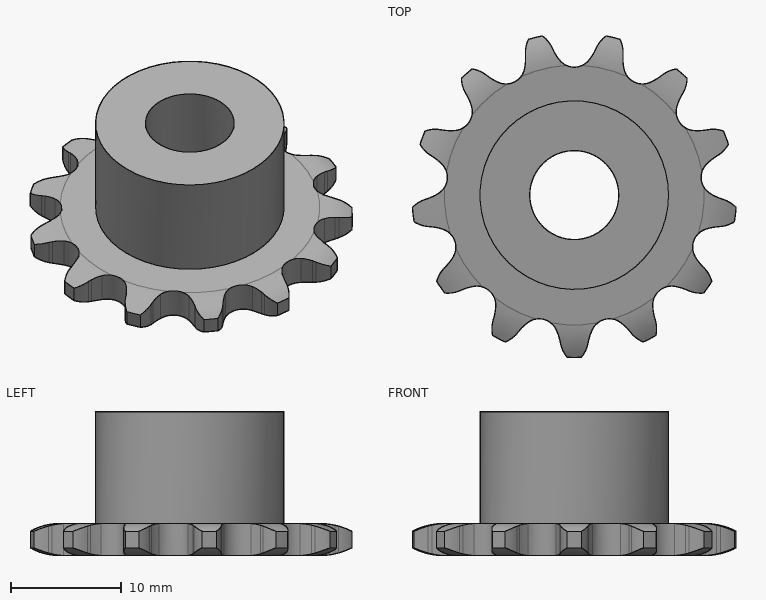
import cadquery as cq
import math

tooth_count = 13
chain_pitch = 6.35
roller_diameter = 3.3
seat_clearance = 0.075

tip_diameter = 29.3
face_diameter = 23.43
plate_thickness = 2.92
tip_thickness = 1.5
total_height = 13.0
hub_diameter = 17.0
bore_diameter = 8.0

half_tooth_angle = math.pi / tooth_count
pitch_angle_deg = 360 / tooth_count
pitch_radius = chain_pitch / (2 * math.sin(half_tooth_angle))
tip_radius = tip_diameter / 2
seat_radius = (1.005 * roller_diameter + seat_clearance) / 2
seat_angle = math.radians(35 + 60 / tooth_count)
working_sweep = math.radians(18 - 56 / tooth_count)
flank_angle = seat_angle - working_sweep
working_center_offset = 0.8 * roller_diameter
topping_center_offset = 1.4 * roller_diameter
gap_reach = 2.92


def polar(center, radius, angle):
    """Point at a radius and angle (radians from +X) around a center."""
    return (center[0] + radius * math.cos(angle), center[1] + radius * math.sin(angle))


def mirrored(point):
    """The same point on the other side of the gap's centerline."""
    return (-point[0], point[1])


def make_plate():
    """Toothless disc whose rim is crowned on both faces, tangent to the flat faces."""
    face_radius = face_diameter / 2
    crown_width = tip_radius - face_radius
    crown_drop = (plate_thickness - tip_thickness) / 2
    crown_radius = (crown_width**2 + crown_drop**2) / (2 * crown_drop)
    crown_mid_angle = math.asin(crown_width / crown_radius) / 2
    top_center = (face_radius, plate_thickness - crown_radius)
    bottom_center = (face_radius, crown_radius)
    return (
        cq.Workplane("XZ")
        .lineTo(face_radius, 0)
        .threePointArc(
            polar(bottom_center, crown_radius, crown_mid_angle - math.pi / 2),
            (tip_radius, crown_drop),
        )
        .lineTo(tip_radius, plate_thickness - crown_drop)
        .threePointArc(
            polar(top_center, crown_radius, math.pi / 2 - crown_mid_angle),
            (face_radius, plate_thickness),
        )
        .lineTo(0, plate_thickness)
        .close()
        .revolve(360, (0, 0), (0, 1))
    )


def make_tooth_gap():
    """Cutter for the gap centered on +Y: roller seat, then working, straight and topping flanks."""
    roller_center = (0, pitch_radius)
    seat_bottom = (0, pitch_radius - seat_radius)
    seat_end = polar(roller_center, seat_radius, -seat_angle)

    working_center = polar(roller_center, working_center_offset, math.pi - seat_angle)
    working_radius = working_center_offset + seat_radius
    working_mid = polar(working_center, working_radius, -seat_angle + working_sweep / 2)
    working_end = polar(working_center, working_radius, -flank_angle)

    topping_center = polar(roller_center, topping_center_offset, -half_tooth_angle)
    topping_radius = (topping_center[0] - working_end[0]) * math.cos(flank_angle)
    topping_radius += (working_end[1] - topping_center[1]) * math.sin(flank_angle)
    topping_start_angle = math.pi - flank_angle
    topping_start = polar(topping_center, topping_radius, topping_start_angle)

    center_distance = math.hypot(*topping_center)
    inward_angle = math.atan2(-topping_center[1], -topping_center[0]) + 2 * math.pi
    corner_cosine = (center_distance**2 + topping_radius**2 - tip_radius**2) / (
        2 * center_distance * topping_radius
    )
    topping_end_angle = inward_angle - math.acos(corner_cosine)
    topping_mid_angle = (topping_start_angle + topping_end_angle) / 2
    topping_mid = polar(topping_center, topping_radius, topping_mid_angle)
    topping_end = polar(topping_center, topping_radius, topping_end_angle)
    outer_corner = (topping_end[0], tip_radius + gap_reach)

    return (
        cq.Workplane("XY")
        .moveTo(*mirrored(seat_end))
        .threePointArc(seat_bottom, seat_end)
        .threePointArc(working_mid, working_end)
        .lineTo(*topping_start)
        .threePointArc(topping_mid, topping_end)
        .lineTo(*outer_corner)
        .lineTo(*mirrored(outer_corner))
        .lineTo(*mirrored(topping_end))
        .threePointArc(mirrored(topping_mid), mirrored(topping_start))
        .lineTo(*mirrored(working_end))
        .threePointArc(mirrored(working_mid), mirrored(seat_end))
        .close()
        .extrude(plate_thickness)
    )


sprocket = make_plate()
tooth_gap = make_tooth_gap()
for gap_index in range(tooth_count):
    sprocket = sprocket.cut(tooth_gap.rotate((0, 0, 0), (0, 0, 1), gap_index * pitch_angle_deg))

hub = cq.Workplane("XY").circle(hub_diameter / 2).extrude(total_height)
bore = cq.Workplane("XY").circle(bore_diameter / 2).extrude(total_height)
result = sprocket.union(hub).cut(bore)